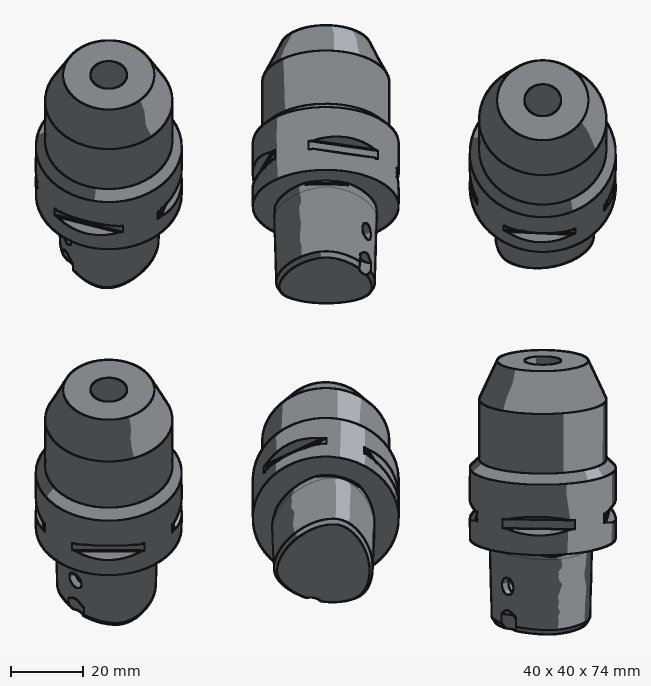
import cadquery as cq
import math

height = 74.0
flange_radius = 20.02
flange_bottom = 24.0
flange_height = 19.8
shoulder_rise = 2.5
barrel_radius = 17.5
nose_height = 10.9
nose_radius = 12.5

bore_diameter = 10.0
bore_depth = 39.95

shank_mean_radius = 14.05
lobe_size = 0.9
collar_height = 2.5
flange_overlap = 3.7
taper_inset = 0.5
end_chamfer_height = 1.5
end_chamfer_inset = 0.9
outline_points = 48

neck_radius = 14.05
neck_straight = 0.7
neck_flare_height = 1.4
neck_flare = 1.1

groove_count = 4
groove_z = 32.1
groove_floor_distance = 17.4
groove_wall_depth = 0.6
groove_floor_width = 2.6
groove_mouth_width = 5.25

side_hole_z = 12.4
side_hole_radius = 2.4
side_hole_wall_depth = 2.2

notch_radius = 3.9
notch_axis_y = -15.0
notch_wall_height = 4.0


def shank_outline(z, inset):
    """Closed outline with its width given by mean radius + lobe * cos(3 * angle)."""
    points = []
    for i in range(outline_points):
        angle = 2 * math.pi * i / outline_points
        reach = shank_mean_radius - inset + lobe_size * math.cos(3 * angle)
        slide = -3 * lobe_size * math.sin(3 * angle)
        x = -reach * math.sin(angle) - slide * math.cos(angle)
        y = reach * math.cos(angle) - slide * math.sin(angle)
        points.append(cq.Vector(x, y, z))
    return cq.Wire.assembleEdges([cq.Edge.makeSpline(points, periodic=True)])


def shank_section(z_low, inset_low, z_high, inset_high):
    wires = [shank_outline(z_low, inset_low), shank_outline(z_high, inset_high)]
    return cq.Workplane(obj=cq.Solid.makeLoft(wires, True))


def make_body():
    shoulder_bottom = flange_bottom + flange_height
    return (
        cq.Workplane("XZ")
        .moveTo(0, flange_bottom)
        .lineTo(flange_radius, flange_bottom)
        .lineTo(flange_radius, shoulder_bottom)
        .lineTo(barrel_radius, shoulder_bottom + shoulder_rise)
        .lineTo(barrel_radius, height - nose_height)
        .lineTo(nose_radius, height)
        .lineTo(0, height)
        .close()
        .revolve(360, (0, 0, 0), (0, 1, 0))
    )


def make_shank():
    collar_bottom = flange_bottom - collar_height
    chamfer = shank_section(0, taper_inset + end_chamfer_inset, end_chamfer_height, taper_inset)
    taper = shank_section(end_chamfer_height, taper_inset, collar_bottom, 0)
    collar = shank_section(collar_bottom, 0, flange_bottom + flange_overlap, 0)
    return chamfer.union(taper).union(collar)


def neck_undercut():
    flare_top = flange_bottom - neck_straight
    flare_radius = neck_radius + neck_flare
    return (
        cq.Workplane("XZ")
        .moveTo(neck_radius, flange_bottom)
        .lineTo(neck_radius, flare_top)
        .lineTo(flare_radius, flare_top - neck_flare_height)
        .lineTo(flare_radius, flange_bottom)
        .close()
        .revolve(360, (0, 0, 0), (0, 1, 0))
    )


def gripper_groove():
    """Straight groove across the +X side of the flange: flared mouth, then short square walls."""
    flare_distance = groove_floor_distance + groove_wall_depth
    floor_half = groove_floor_width / 2
    mouth_half = groove_mouth_width / 2
    return (
        cq.Workplane("XZ")
        .moveTo(groove_floor_distance, groove_z - floor_half)
        .lineTo(flare_distance, groove_z - floor_half)
        .lineTo(flange_radius, groove_z - mouth_half)
        .lineTo(flange_radius, groove_z + mouth_half)
        .lineTo(flare_distance, groove_z + floor_half)
        .lineTo(groove_floor_distance, groove_z + floor_half)
        .close()
        .extrude(flange_radius, both=True)
    )


def side_hole():
    hole_bottom_y = -(shank_mean_radius - lobe_size - taper_inset) + side_hole_wall_depth
    return (
        cq.Workplane("XY", origin=(0, 0, side_hole_z))
        .moveTo(0, -flange_radius)
        .lineTo(side_hole_radius, -flange_radius)
        .lineTo(side_hole_radius, hole_bottom_y)
        .lineTo(0, hole_bottom_y + side_hole_radius)
        .close()
        .revolve(360, (0, 0, 0), (0, 1, 0))
    )


def key_notch():
    """Upright round notch closed by a 45 degree conical roof."""
    return (
        cq.Workplane("XZ")
        .lineTo(notch_radius, 0)
        .lineTo(notch_radius, notch_wall_height)
        .lineTo(0, notch_wall_height + notch_radius)
        .close()
        .revolve(360, (0, 0, 0), (0, 1, 0))
        .translate((0, notch_axis_y, 0))
    )


shank = make_shank().cut(neck_undercut()).cut(side_hole()).cut(key_notch())
result = make_body().union(shank)

for i in range(groove_count):
    groove_angle = 45 + i * 360 / groove_count
    result = result.cut(gripper_groove().rotate((0, 0, 0), (0, 0, 1), groove_angle))

result = result.faces(">Z").workplane().hole(bore_diameter, bore_depth)